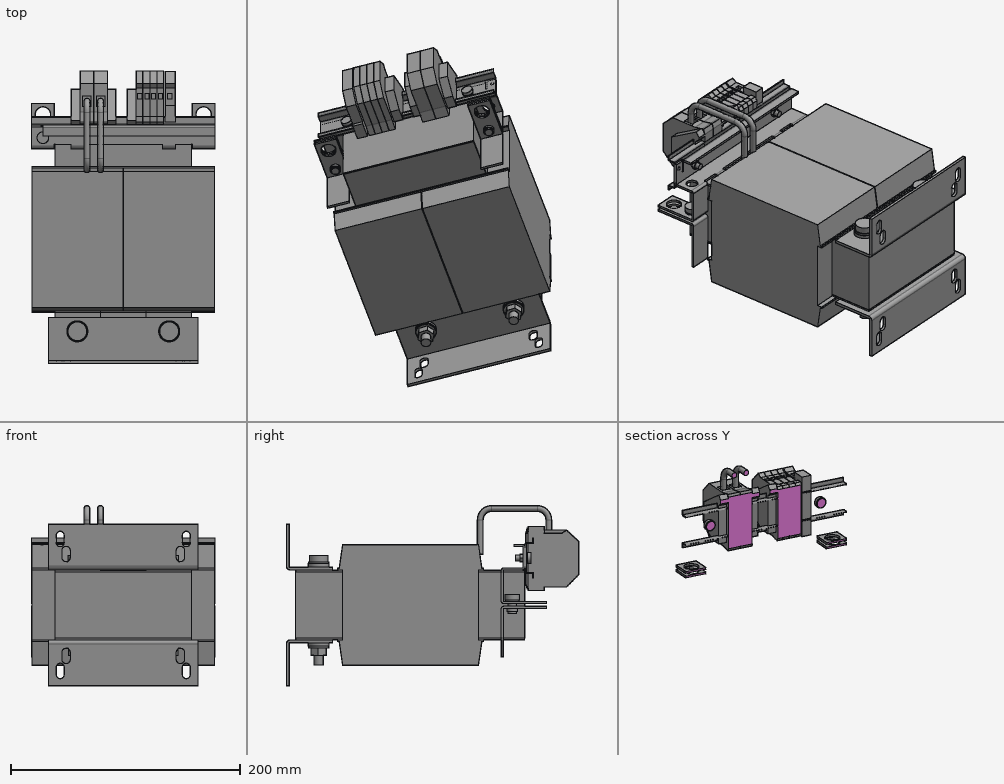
import cadquery as cq
import math


CORE_WIDTH = 119.0
CORE_HEIGHT = 60.8
CORE_FRONT = -100.3
CORE_REAR = 99.5
COVER_THICKNESS = 1.6
COVER_INSET = 0.15
KEY_WIDTH = 40.0
KEY_DEPTH = 0.2

COIL_WIDTH = 159.0
COIL_HEIGHT = 105.2
COIL_LENGTH = 118.4
COIL_BULGE_LENGTH = 124.4
LIP_LENGTH = 127.2
LIP_THICKNESS = 1.6
COIL_GAP = 0.8

FOOT_WIDTH = 130.4
FOOT_THICKNESS = 2.6
FOOT_BEND_RADIUS = 3.4
FOOT_REAR = -67.8
FOOT_FRONT = -108.2
FOOT_REACH = 70.5
OUTER_SLOT = (54.9, 57.4, 6.6)
INNER_SLOT = (49.8, 44.4, 7.4)
SLOT_LENGTH = 13.4

FOOT_BOLT_X = 40.0
FOOT_BOLT_Y = -80.0
FOOT_WASHER_DIA = 18.4
FOOT_WASHER_HEIGHT = 2.9
FOOT_LOCK_DIA = 17.6
FOOT_LOCK_HEIGHT = 1.7
FOOT_HEAD_DIA = 16.4
FOOT_HEAD_HEIGHT = 5.6
FOOT_NUT_CORNERS = 15.0
FOOT_NUT_HEIGHT = 6.4
FOOT_NUT_TURN = 56.0
FOOT_STUD_DIA = 8.4
FOOT_STUD_END = -52.5

SHEET = 2.0
SHEET_BEND_RADIUS = 2.5
BRACKET_WIDTH = 160.0
EAR_WIDTH = 20.0
EAR_TAB_REAR = 118.6
EAR_FRONT = 78.9
EAR_TAB_GAP = 2.2
EAR_BOTTOM = -45.3
SHELF_FRONT = 82.9
SHELF_TAB_INNER = 34.2
SHELF_TAB_OUTER = 45.5
PLATE_REAR = 99.8
PLATE_TOP = 52.7
TOP_FLANGE_FRONT = 89.9
TOP_FLANGE_LEFT = -70.0
RELIEF_X = -71.2
RELIEF_WIDTH = 1.2
RELIEF_BOTTOM = 41.5
EARTH_HOLE = (-76.6, 47.2, 3.0)
EAR_X = (BRACKET_WIDTH - EAR_WIDTH) / 2
EAR_HOLE_Y = 108.8
EAR_HOLE_DIA = 13.2
EAR_BOLT_Y = 88.6
ACCESS_HOLE_DIA = 10.2
EAR_HEAD_DIA = 12.4
EAR_HEAD_HEIGHT = 4.7
EAR_WASHER_DIA = 11.4
EAR_WASHER_HEIGHT = 1.4
EAR_SHANK_DIA = 7.0
EAR_NUT_DIA = 9.2
EAR_NUT_HEIGHT = 2.4
EAR_SHANK_END = -7.4

RAIL_LENGTH = 160.0
RAIL_Z = 40.9
RAIL_HEIGHT = 35.0
RAIL_HAT_HEIGHT = 27.0
RAIL_DEPTH = 7.5
RAIL_SHEET = 1.0
RAIL_BEND_RADIUS = 1.2
RAIL_SCREW_X = 55.0
RAIL_HEAD_DIA = 9.6
RAIL_HEAD_HEIGHT = 3.3
RAIL_WASHER_DIA = 9.0
RAIL_WASHER_HEIGHT = 0.9
RAIL_NUT_CORNERS = 8.0
RAIL_NUT_HEIGHT = 2.6
RAIL_SCREW_DIA = 5.4
RAIL_SCREW_END = 91.3

BLOCK_REAR = 146.9
BLOCK_FRONT = 100.3
BLOCK_TOP = 65.3
BLOCK_BOTTOM = 15.6
SHOULDER_Y = 135.9
REAR_FACE_TOP = 55.1
REAR_FACE_BOTTOM = 26.7
NECK_Y = 111.0
HOOK_Y = 101.6
HOOK_TIP_BOTTOM = 13.9
HOOK_BOTTOM = 18.3
RIDGE_REAR = 102.9
RIDGE_TOP = 67.0
LARGE_FACE_TOP = 62.3
LARGE_EDGES = (-37.6, -25.7, -13.7)
SMALL_EDGES = (11.3, 16.9, 23.2, 29.5, 35.1)
SEAM = 0.2
EARTH_BLOCK = (36.4, 45.5)
EARTH_BLOCK_SETBACK = 0.6
CLAMPS = ((-45.5, -37.6), (-13.7, -6.5), (3.4, 11.3))
CLAMP_REAR = 131.0
CLAMP_REAR_TOP = 51.4
CLAMP_REAR_BOTTOM = 30.4
CLAMP_RIDGE_Y = 103.7
CLAMP_TOP = 67.2
CLAMP_FACE_TOP = 62.5
CLAMP_FACE_BOTTOM = 60.0
CLAMP_NOTCH_TOP = 57.0
CLAMP_FOOT_Y = 104.2
CLAMP_HEEL_Y = 115.6
CLAMP_BOTTOM = 21.1
TOWER_REAR = 116.6
TOWER_FRONT = 102.5
TOWER_TOP = 68.5
TOWER_BOTTOM = 12.5
SMALL_TOP = 62.6
SMALL_STEP_Y = 131.8
SMALL_END_Y = 107.2
SMALL_FRONT_TOP = 64.3
SMALL_FACE_TOP = 61.4
SMALL_POCKET_Y = 124.6
SMALL_POCKET_X = (14.4, 20.6, 26.4, 32.6, 40.5)
SMALL_POCKET = (3.6, 4.7, 3.0)
LARGE_POCKET_Y = 120.4
LARGE_POCKET = (7.4, 8.8, 6.0)

WIRE_X = (-31.6, -19.8)
WIRE_DIA = 5.2
WIRE_AXIS_TOP = 83.95
WIRE_BEND = 9.9
WIRE_COIL_Y = 60.7
WIRE_COIL_END = 44.1


def box(x0, x1, y0, y1, z0, z1):
    return cq.Workplane("XY").box(x1 - x0, y1 - y0, z1 - z0, centered=False).translate((x0, y0, z0))


def prism(points, x0, x1):
    """Extrude a (y, z) outline from x0 to x1."""
    return cq.Workplane("YZ").polyline(points).close().extrude(x1 - x0).translate((x0, 0, 0))


def post(x, y, z0, z1, diameter):
    return cq.Workplane("XY").center(x, y).circle(diameter / 2).extrude(z1 - z0).translate((0, 0, z0))


def rod(x, z, y0, y1, diameter):
    """Cylinder along Y."""
    direction = cq.Vector(0, 1, 0)
    return cq.Workplane(cq.Solid.makeCylinder(diameter / 2, y1 - y0, cq.Vector(x, y0, z), direction))


def angle_sheet(corner, end_y, end_z, thickness, radius, x0, x1):
    """Bent sheet with its outer corner at (y, z), one leg along Y and one along Z."""
    y, z = corner
    inner_y = y + math.copysign(thickness, end_y - y)
    inner_z = z + math.copysign(thickness, end_z - z)
    outline = [(y, z), (end_y, z), (end_y, inner_z), (inner_y, inner_z), (inner_y, end_z), (y, end_z)]
    sheet = prism(outline, x0, x1)
    middle = (x0 + x1) / 2
    outer_edge = sheet.edges(cq.selectors.NearestToPointSelector((middle, y, z)))
    return outer_edge.fillet(radius)


def core():
    half_width = CORE_WIDTH / 2
    half_height = CORE_HEIGHT / 2
    stack_half = half_height - COVER_THICKNESS
    body = box(-half_width, half_width, CORE_FRONT, CORE_REAR, -stack_half, stack_half)
    covers = box(
        -half_width + COVER_INSET, half_width - COVER_INSET,
        CORE_FRONT + COVER_INSET, CORE_REAR - COVER_INSET,
        -half_height, half_height,
    )
    channel = box(
        -KEY_WIDTH / 2, KEY_WIDTH / 2, CORE_FRONT, -COIL_LENGTH / 2,
        half_height - KEY_DEPTH, half_height,
    )
    return body.union(covers.cut(channel))


def winding():
    window = CORE_HEIGHT / 2
    lip_top = window + LIP_THICKNESS
    top = COIL_HEIGHT / 2
    end = COIL_LENGTH / 2
    bulge = COIL_BULGE_LENGTH / 2
    lip = LIP_LENGTH / 2
    quarter = [(end, window), (lip, window), (lip, lip_top), (bulge, lip_top), (end, top)]
    rear_top = quarter
    front_top = [(-y, z) for y, z in reversed(quarter)]
    front_bottom = [(-y, -z) for y, z in quarter]
    rear_bottom = [(y, -z) for y, z in reversed(quarter)]
    outline = rear_top + front_top + front_bottom + rear_bottom
    body = prism(outline, -COIL_WIDTH / 2, COIL_WIDTH / 2)
    for z0, z1 in ((lip_top, top), (-top, -lip_top)):
        body = body.cut(box(-COIL_GAP / 2, COIL_GAP / 2, -lip, lip, z0, z1))
    return body


def foot(side):
    """Foot bracket above (side = 1) or below (side = -1) the core."""
    sheet = angle_sheet(
        (FOOT_FRONT, side * CORE_HEIGHT / 2), FOOT_REAR, side * FOOT_REACH,
        FOOT_THICKNESS, FOOT_BEND_RADIUS, -FOOT_WIDTH / 2, FOOT_WIDTH / 2,
    )
    for x, z, width in (OUTER_SLOT, INNER_SLOT):
        slots = (
            cq.Workplane("XZ", origin=(0, FOOT_FRONT, 0))
            .pushPoints([(-x, side * z), (x, side * z)])
            .slot2D(SLOT_LENGTH, width, 90)
            .extrude(-FOOT_THICKNESS)
        )
        sheet = sheet.cut(slots)
    return sheet


def foot_bolt(x):
    y = FOOT_BOLT_Y
    seat = CORE_HEIGHT / 2 + FOOT_THICKNESS
    washer_face = seat + FOOT_WASHER_HEIGHT
    head_base = washer_face + FOOT_LOCK_HEIGHT
    nut_top = -head_base
    nut = (
        cq.Workplane("XY")
        .polygon(6, FOOT_NUT_CORNERS)
        .extrude(-FOOT_NUT_HEIGHT)
        .rotate((0, 0, 0), (0, 0, 1), FOOT_NUT_TURN)
        .translate((x, y, nut_top))
    )
    return (
        post(x, y, FOOT_STUD_END, head_base, FOOT_STUD_DIA)
        .union(post(x, y, head_base, head_base + FOOT_HEAD_HEIGHT, FOOT_HEAD_DIA))
        .union(post(x, y, seat, washer_face, FOOT_WASHER_DIA))
        .union(post(x, y, washer_face, head_base, FOOT_LOCK_DIA))
        .union(post(x, y, -washer_face, -seat, FOOT_WASHER_DIA))
        .union(post(x, y, nut_top, -washer_face, FOOT_LOCK_DIA))
        .union(nut)
    )


def shelf_bend(x0, x1):
    """Front edge of the shelf, bent down past the top of the core."""
    top = CORE_HEIGHT / 2 + SHEET
    bend_end = top - 2 * SHEET
    return angle_sheet((EAR_FRONT, top), SHELF_FRONT, bend_end, SHEET, SHEET_BEND_RADIUS, x0, x1)


def rail_bracket():
    """Shelf on the core with an upright plate that carries the rail."""
    half = BRACKET_WIDTH / 2
    shelf_z = CORE_HEIGHT / 2
    plate_front = PLATE_REAR - SHEET
    bracket = angle_sheet(
        (PLATE_REAR, shelf_z), SHELF_FRONT, PLATE_TOP, SHEET, SHEET_BEND_RADIUS, -half, half,
    )
    rounded_end = box(TOP_FLANGE_LEFT, half, plate_front - SHEET, PLATE_REAR, RELIEF_BOTTOM, PLATE_TOP)
    flange = angle_sheet(
        (PLATE_REAR, PLATE_TOP), TOP_FLANGE_FRONT, RELIEF_BOTTOM, SHEET, SHEET_BEND_RADIUS,
        TOP_FLANGE_LEFT, half,
    )
    bracket = bracket.cut(rounded_end).union(flange)
    for x0, x1 in ((-SHELF_TAB_OUTER, -SHELF_TAB_INNER), (SHELF_TAB_INNER, SHELF_TAB_OUTER)):
        bracket = bracket.union(shelf_bend(x0, x1))
    relief = box(
        RELIEF_X - RELIEF_WIDTH / 2, RELIEF_X + RELIEF_WIDTH / 2,
        plate_front, PLATE_REAR, RELIEF_BOTTOM, PLATE_TOP,
    )
    hole_x, hole_z, hole_dia = EARTH_HOLE
    return bracket.cut(relief).cut(rod(hole_x, hole_z, plate_front, PLATE_REAR, hole_dia))


def ears(side):
    """Upper and lower mounting ears beside the core, with their bolt."""
    x = side * EAR_X
    x0 = x - EAR_WIDTH / 2
    x1 = x + EAR_WIDTH / 2
    shelf_underside = CORE_HEIGHT / 2
    upper_face = EAR_TAB_GAP / 2
    upper = angle_sheet(
        (EAR_FRONT, upper_face), EAR_TAB_REAR, shelf_underside, SHEET, SHEET_BEND_RADIUS, x0, x1,
    )
    lower = angle_sheet(
        (EAR_FRONT, -upper_face), EAR_TAB_REAR, EAR_BOTTOM, SHEET, SHEET_BEND_RADIUS, x0, x1,
    )
    tabs = upper.union(shelf_bend(x0, x1)).union(lower)
    tabs = tabs.cut(post(x, EAR_HOLE_Y, -upper_face - SHEET, upper_face + SHEET, EAR_HOLE_DIA))
    seat = upper_face + SHEET
    head_base = seat + EAR_WASHER_HEIGHT
    nut_top = -seat
    bolt = (
        post(x, EAR_BOLT_Y, EAR_SHANK_END, head_base, EAR_SHANK_DIA)
        .union(post(x, EAR_BOLT_Y, seat, head_base, EAR_WASHER_DIA))
        .union(post(x, EAR_BOLT_Y, head_base, head_base + EAR_HEAD_HEIGHT, EAR_HEAD_DIA))
        .union(post(x, EAR_BOLT_Y, nut_top - EAR_NUT_HEIGHT, nut_top, EAR_NUT_DIA))
    )
    return tabs.union(bolt)


def rail():
    """Top-hat rail, open towards +Y."""
    half = RAIL_HEIGHT / 2
    hat = RAIL_HAT_HEIGHT / 2
    back = PLATE_REAR
    lip = back + RAIL_DEPTH
    t = RAIL_SHEET
    upper = [
        (back, hat), (lip - t, hat), (lip - t, half), (lip, half), (lip, hat - t), (back + t, hat - t),
    ]
    lower = [(y, -z) for y, z in reversed(upper)]
    outline = [(y, z + RAIL_Z) for y, z in upper + lower]
    section = prism(outline, -RAIL_LENGTH / 2, RAIL_LENGTH / 2)
    outer_bends = [(y, RAIL_Z + z) for z1, y in ((hat, back), (hat - t, lip)) for z in (z1, -z1)]
    for y, z in outer_bends:
        section = section.edges(cq.selectors.NearestToPointSelector((0, y, z))).fillet(RAIL_BEND_RADIUS)
    return section


def rail_screw(x):
    plate_front = PLATE_REAR - SHEET
    web_rear = PLATE_REAR + RAIL_SHEET
    head_base = web_rear + RAIL_WASHER_HEIGHT
    nut = (
        cq.Workplane("XZ", origin=(x, plate_front, RAIL_Z))
        .polygon(6, RAIL_NUT_CORNERS)
        .extrude(RAIL_NUT_HEIGHT)
    )
    return (
        rod(x, RAIL_Z, RAIL_SCREW_END, web_rear, RAIL_SCREW_DIA)
        .union(rod(x, RAIL_Z, web_rear, head_base, RAIL_WASHER_DIA))
        .union(rod(x, RAIL_Z, head_base, head_base + RAIL_HEAD_HEIGHT, RAIL_HEAD_DIA))
        .union(nut)
    )


BLOCK_UNDERSIDE = [
    (BLOCK_FRONT, HOOK_BOTTOM), (HOOK_Y, HOOK_TIP_BOTTOM), (NECK_Y, BLOCK_BOTTOM),
    (SHOULDER_Y, BLOCK_BOTTOM), (BLOCK_REAR, REAR_FACE_BOTTOM), (BLOCK_REAR, REAR_FACE_TOP),
]
LARGE_OUTLINE = BLOCK_UNDERSIDE + [
    (SHOULDER_Y, BLOCK_TOP), (NECK_Y, BLOCK_TOP), (RIDGE_REAR, RIDGE_TOP),
    (HOOK_Y, RIDGE_TOP), (BLOCK_FRONT, LARGE_FACE_TOP),
]
SMALL_OUTLINE = BLOCK_UNDERSIDE + [
    (SHOULDER_Y, BLOCK_TOP), (SMALL_STEP_Y, SMALL_TOP), (SMALL_END_Y, SMALL_TOP),
    (SMALL_END_Y, SMALL_FRONT_TOP), (TOWER_FRONT, SMALL_FRONT_TOP), (BLOCK_FRONT, SMALL_FACE_TOP),
]
CLAMP_OUTLINE = [
    (CLAMP_REAR, CLAMP_REAR_TOP), (CLAMP_RIDGE_Y, CLAMP_TOP),
    (BLOCK_FRONT, CLAMP_FACE_TOP), (BLOCK_FRONT, CLAMP_FACE_BOTTOM),
    (CLAMP_FOOT_Y, CLAMP_NOTCH_TOP), (CLAMP_FOOT_Y, CLAMP_BOTTOM),
    (CLAMP_HEEL_Y, CLAMP_BOTTOM), (CLAMP_REAR, CLAMP_REAR_BOTTOM),
]


def pocket(x, y, top, size):
    width, length, depth = size
    return box(x - width / 2, x + width / 2, y - length / 2, y + length / 2, top - depth, top)


def block_row(outline, edges):
    """Row of equal terminal blocks with thin joints all around."""
    row = prism(outline, edges[0], edges[-1])
    for x in edges[1:-1]:
        sketch = cq.Workplane("YZ", origin=(x - SEAM / 2, 0, 0)).polyline(outline).close()
        joint = prism(outline, x - SEAM / 2, x + SEAM / 2)
        row = row.cut(joint.cut(sketch.offset2D(-SEAM).extrude(SEAM)))
    return row


def terminals():
    large = block_row(LARGE_OUTLINE, LARGE_EDGES)
    for x in WIRE_X:
        large = large.cut(pocket(x, LARGE_POCKET_Y, BLOCK_TOP, LARGE_POCKET))

    earth_left, earth_right = EARTH_BLOCK
    earth_limit = box(
        earth_left, earth_right, TOWER_FRONT, BLOCK_REAR - EARTH_BLOCK_SETBACK, TOWER_BOTTOM, TOWER_TOP,
    )
    earth = prism(SMALL_OUTLINE, earth_left, earth_right).intersect(earth_limit)
    tower = box(earth_left, earth_right, TOWER_FRONT, TOWER_REAR, TOWER_BOTTOM, TOWER_TOP)
    small = block_row(SMALL_OUTLINE, SMALL_EDGES).union(earth).union(tower)
    for x in SMALL_POCKET_X:
        small = small.cut(pocket(x, SMALL_POCKET_Y, SMALL_TOP, SMALL_POCKET))

    blocks = large.union(small)
    for x0, x1 in CLAMPS:
        blocks = blocks.union(prism(CLAMP_OUTLINE, x0, x1))
    return blocks


def wire(x):
    """Wire from a large terminal, over the rail and down to the winding."""
    start_z = BLOCK_TOP - LARGE_POCKET[2]
    bend_z = WIRE_AXIS_TOP - WIRE_BEND
    bend_offset = WIRE_BEND * (1 - math.sqrt(0.5))
    rear = LARGE_POCKET_Y
    front = WIRE_COIL_Y
    path = (
        cq.Workplane("YZ", origin=(x, 0, 0))
        .moveTo(rear, start_z)
        .lineTo(rear, bend_z)
        .threePointArc((rear - bend_offset, WIRE_AXIS_TOP - bend_offset), (rear - WIRE_BEND, WIRE_AXIS_TOP))
        .lineTo(front + WIRE_BEND, WIRE_AXIS_TOP)
        .threePointArc((front + bend_offset, WIRE_AXIS_TOP - bend_offset), (front, bend_z))
        .lineTo(front, WIRE_COIL_END)
    )
    return cq.Workplane("XY", origin=(x, rear, start_z)).circle(WIRE_DIA / 2).sweep(path)


def access_hole():
    """Hole in the shelf above the left ear bolt."""
    shelf_z = CORE_HEIGHT / 2
    return post(-EAR_X, EAR_BOLT_Y, shelf_z, shelf_z + SHEET, ACCESS_HOLE_DIA)


result = core().union(winding())
for side in (1, -1):
    result = result.union(foot(side))
    result = result.union(foot_bolt(side * FOOT_BOLT_X))
    result = result.union(ears(side))
result = result.union(rail_bracket()).union(rail()).union(terminals())
for side in (1, -1):
    result = result.union(rail_screw(side * RAIL_SCREW_X))
for wire_x in WIRE_X:
    result = result.union(wire(wire_x))
result = result.cut(access_hole())